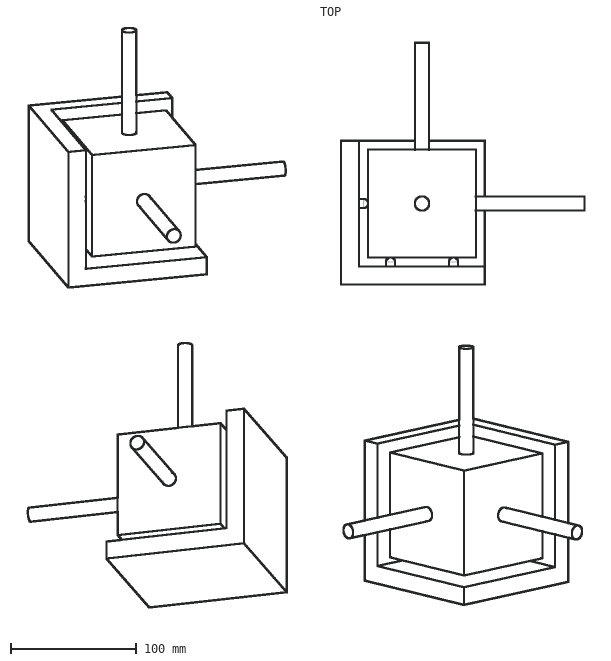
import cadquery as cq

housing_size = 114.5
wall = 14.5

gap = 7.2
cube_size = housing_size - wall - 2 * gap
cube_start = wall + gap
cube_centre = cube_start + cube_size / 2
cube_end = cube_start + cube_size

rod_diameter = 11.5
rod_radius = rod_diameter / 2
hole_depth = 19.4
x_rod_end = 193.6
y_rod_end = 192.3
z_rod_end = 193.6

pin_radius = 3.7
pin_shank = gap - pin_radius
pin_half_spacing = 25.0

cube_mid = cq.Vector(cube_centre, cube_centre, cube_centre)
x_dir = cq.Vector(1, 0, 0)
y_dir = cq.Vector(0, 1, 0)
z_dir = cq.Vector(0, 0, 1)
rod_ends = [(x_dir, x_rod_end), (y_dir, y_rod_end), (z_dir, z_rod_end)]


def hole_bottom(direction):
    """Centre of the bottom of the hole in the cube face that faces along direction."""
    return cube_mid + direction * (cube_size / 2 - hole_depth)


def make_locating_pin(base, direction):
    """Cylindrical shank with a hemispherical nose that just reaches the cube."""
    shank = cq.Solid.makeCylinder(pin_radius, pin_shank, base, direction)
    nose = cq.Solid.makeSphere(
        pin_radius, base + direction * pin_shank, direction, angleDegrees1=0, angleDegrees2=90
    )
    return shank.fuse(nose)


def make_housing():
    cavity_size = housing_size - wall
    body = cq.Workplane().box(housing_size, housing_size, housing_size, centered=False)
    cavity = cq.Workplane().box(cavity_size, cavity_size, cavity_size, centered=False)
    body = body.cut(cavity.translate((wall, wall, wall)))
    left_pin_base = cq.Vector(wall, cube_centre, cube_centre)
    body = body.union(make_locating_pin(left_pin_base, x_dir))
    for side in (-1, 1):
        front_pin_base = cq.Vector(cube_centre + side * pin_half_spacing, wall, cube_centre)
        body = body.union(make_locating_pin(front_pin_base, y_dir))
    return body


def make_cube():
    body = cq.Workplane().box(cube_size, cube_size, cube_size).translate(cube_mid)
    for direction, _ in rod_ends:
        body = body.cut(cq.Solid.makeCylinder(rod_radius, hole_depth, hole_bottom(direction), direction))
    return body


def make_rod(direction, end):
    """Round rod from the bottom of its hole out to the given coordinate."""
    length = end - cube_end + hole_depth
    return cq.Solid.makeCylinder(rod_radius, length, hole_bottom(direction), direction)


housing = make_housing()
cube = make_cube()
rods = [make_rod(direction, end) for direction, end in rod_ends]

result = cq.Compound.makeCompound([housing.val(), cube.val(), *rods])